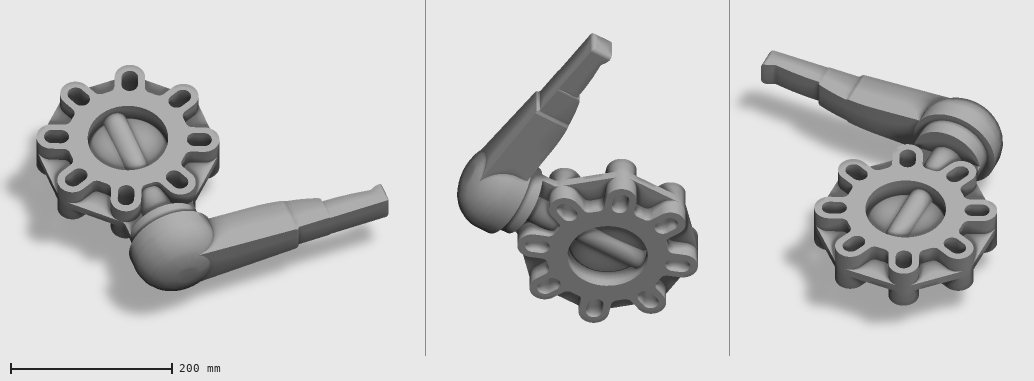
import cadquery as cq
import math

housing_height = 56.0
across_flats = 212.7
apothem = across_flats / 2
web_thickness = 11.0
lug_count = 8
lug_pitch = 360 / lug_count
lug_radius = 19.0
lug_center = (apothem - lug_radius) / math.cos(math.radians(lug_pitch / 2))
slot_width = 20.5
slot_length = 31.0
slot_outer_wall = 9.5
slot_center = lug_center + lug_radius - slot_outer_wall - slot_length / 2
hub_apothem = 75.5
corner_fillet = 8.7
selection_margin = 3.8

liner_diameter = 129.0
bore_diameter = 100.0
disc_shaft_diameter = 32.0
disc_center_thickness = 16.5
disc_face_radius = 45.8
disc_rim_thickness = 12.5

neck_diameter = 41.5
bonnet_diameter = 90.0
bonnet_start = 125.3
rim_start = 147.2

cap_diameter = 110.0
cap_end = 206.0
cap_flat_diameter = 26.0
dome_radius = (cap_diameter - cap_flat_diameter) / 2
rim_end = cap_end - dome_radius

lever_tip = 272.0
shank_left = 150.5
shank_right = 201.0
shank_end = 150.0
shank_curve_start = 107.5
collar_left = 164.0
collar_shoulder = 167.0
collar_end = 192.5
collar_rounding = 3.8
grip_left = 170.0
grip_right = 197.5
waist = 174.5
waist_start = 251.0
waist_end = 256.2
waist_depth = 0.5
tip_curve_end = 271.0
tip_fillet = 5.3
shoulder_step = 3.0

shank_thickness_at_cap = 57.5
shank_thickness_at_end = 39.7
shank_chamfer = 4.0
collar_thickness = 35.5
collar_end_thickness = 35.0
collar_chamfer = 2.0
grip_thickness = 33.3


def x_cylinder(diameter, start, end):
    """Cylinder along X between two X positions."""
    return cq.Workplane("YZ", origin=(start, 0, 0)).circle(diameter / 2).extrude(end - start)


def z_prism(sketch, height):
    """Outline extruded symmetrically about the Z = 0 plane."""
    return sketch.extrude(height / 2, both=True)


def octagon(apothem_size, height):
    """Octagonal prism with flats facing X and Y."""
    corner_diameter = 2 * apothem_size / math.cos(math.pi / lug_count)
    outline = cq.Workplane("XY").polygon(lug_count, corner_diameter)
    return z_prism(outline, height).rotate((0, 0, 0), (0, 0, 1), lug_pitch / 2)


def lug_copies(shape):
    """Copies of a shape that points along +X, one on each lug axis."""
    return [shape.rotate((0, 0, 0), (0, 0, 1), lug_pitch * (index + 0.5)) for index in range(lug_count)]


def make_lugged_ring():
    """Octagonal hub with round-ended lugs, rounded in the corners between them."""
    arm = z_prism(cq.Workplane("XY").center(lug_center / 2, 0).rect(lug_center, 2 * lug_radius), housing_height)
    lug = arm.union(z_prism(cq.Workplane("XY").center(lug_center, 0).circle(lug_radius), housing_height))
    ring = octagon(hub_apothem, housing_height)
    for copy in lug_copies(lug):
        ring = ring.union(copy)
    reach = hub_apothem + selection_margin
    corner_zone = cq.selectors.BoxSelector(
        (-reach, -reach, -selection_margin), (reach, reach, selection_margin)
    )
    return ring.edges("|Z").edges(corner_zone).fillet(corner_fillet)


def make_web():
    """Thin plate whose edges run between the points where the flats touch the lug ends."""
    half_flat = lug_center * math.sin(math.radians(lug_pitch / 2))
    points = []
    for index in range(lug_count):
        turn = math.radians(lug_pitch * index)
        for side in (-half_flat, half_flat):
            x = apothem * math.cos(turn) - side * math.sin(turn)
            y = apothem * math.sin(turn) + side * math.cos(turn)
            points.append((x, y))
    return z_prism(cq.Workplane("XY").polyline(points).close(), web_thickness)


def make_housing():
    body = make_lugged_ring().union(make_web())

    neck_web = cq.Workplane("XY").center(bonnet_start / 2, 0).rect(bonnet_start, bonnet_diameter)
    body = body.union(z_prism(neck_web, web_thickness))
    half_width = bonnet_diameter / 2
    for y in (-half_width, half_width):
        lug_offset = abs(y) - lug_center * math.sin(math.radians(lug_pitch / 2))
        x = apothem - lug_radius + math.sqrt(lug_radius**2 - lug_offset**2)
        junction = cq.selectors.NearestToPointSelector((x, y, 0))
        body = body.edges("|Z").edges(junction).fillet(corner_fillet)

    body = body.union(x_cylinder(neck_diameter, 0, bonnet_start))
    body = body.union(x_cylinder(bonnet_diameter, bonnet_start, rim_start))
    body = body.cut(z_prism(cq.Workplane("XY").circle(liner_diameter / 2), housing_height))
    slot = z_prism(cq.Workplane("XY").center(slot_center, 0).slot2D(slot_length, slot_width), housing_height)
    for copy in lug_copies(slot):
        body = body.cut(copy)
    return body


def make_liner():
    ring = cq.Workplane("XY").circle(liner_diameter / 2).circle(bore_diameter / 2)
    return z_prism(ring, housing_height)


def make_disc():
    bore_radius = bore_diameter / 2
    disc = (
        cq.Workplane("XZ")
        .moveTo(0, -disc_center_thickness / 2)
        .lineTo(disc_face_radius, -disc_rim_thickness / 2)
        .threePointArc((bore_radius, 0), (disc_face_radius, disc_rim_thickness / 2))
        .lineTo(0, disc_center_thickness / 2)
        .close()
        .revolve(360, (0, 0, 0), (0, 1, 0))
    )
    bore = z_prism(cq.Workplane("XY").circle(bore_radius), housing_height)
    shaft = x_cylinder(disc_shaft_diameter, -bore_radius, bore_radius).intersect(bore)
    return disc.union(shaft)


def make_cap():
    return (
        cq.Workplane("XY")
        .moveTo(rim_start, 0)
        .lineTo(rim_start, cap_diameter / 2)
        .lineTo(rim_end, cap_diameter / 2)
        .tangentArcPoint((cap_end, cap_flat_diameter / 2), relative=False)
        .lineTo(cap_end, 0)
        .close()
        .revolve(360, (0, 0, 0), (1, 0, 0))
    )


def grip_curve_middle(start, end):
    """Middle point of an arc that leaves the grip's -X side parallel to Y and reaches the waist."""
    return (grip_left + (waist - grip_left) / 4, (start + end) / 2)


def lever_plan():
    """Lever outline in the XY plane, drawn up the curved -X side and down the straight +X side."""
    return (
        cq.Workplane("XY")
        .moveTo(shank_left, 0)
        .lineTo(shank_left, shank_curve_start)
        .tangentArcPoint((collar_left, collar_end - collar_rounding), relative=False)
        .tangentArcPoint((collar_shoulder, collar_end), relative=False)
        .lineTo(grip_left, collar_end)
        .threePointArc(grip_curve_middle(collar_end, waist_start), (waist, waist_start))
        .threePointArc((waist + waist_depth, (waist_start + waist_end) / 2), (waist, waist_end))
        .threePointArc(grip_curve_middle(waist_end, tip_curve_end), (grip_left, tip_curve_end))
        .lineTo(grip_left, lever_tip)
        .lineTo(grip_right, lever_tip)
        .lineTo(grip_right, shank_end + shoulder_step / 2)
        .lineTo(shank_right, shank_end - shoulder_step / 2)
        .lineTo(shank_right, 0)
        .close()
    )


def lever_side():
    """Lever outline in the YZ plane, symmetrical about Z = 0."""
    upper_side = [
        (0, shank_thickness_at_cap / 2),
        (shank_end - shank_chamfer, shank_thickness_at_end / 2),
        (shank_end, collar_thickness / 2),
        (collar_end - collar_chamfer, collar_thickness / 2),
        (collar_end, collar_end_thickness / 2),
        (collar_end, grip_thickness / 2),
        (lever_tip, grip_thickness / 2),
    ]
    lower_side = [(y, -z) for y, z in reversed(upper_side)]
    return cq.Workplane("YZ").polyline(upper_side + lower_side).close()


def make_lever():
    lever = z_prism(lever_plan(), cap_diameter).intersect(lever_side().extrude(cap_end))
    return lever.faces(">Y").edges(">X or >Z or <Z").fillet(tip_fillet)


def make_handle():
    return make_cap().union(make_lever())


housing = make_housing()
liner = make_liner()
disc = make_disc()
handle = make_handle()

result = cq.Compound.makeCompound([housing.val(), liner.val(), disc.val(), handle.val()])